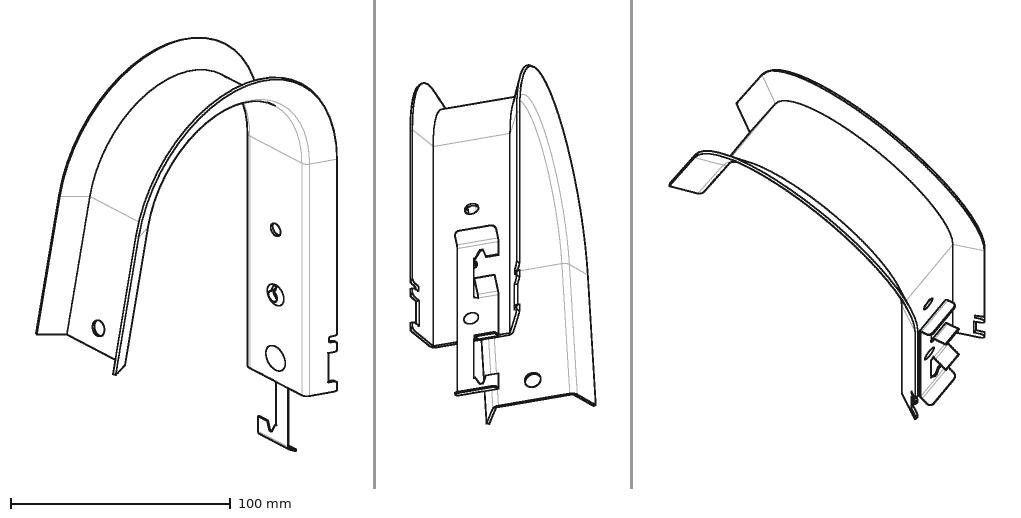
import cadquery as cq
import math


sheet = 1.4
arch_radius = 50.7
leg_length = 124.0
arm_length = 69.0
arm_splay = 12.4
half_width = 25.7
flange_lean = 26.0
flange_rise = 13.2
bend_radius = 3.5

hole_pitch = 33.9
rivet_z = 12.5
screw_z = rivet_z + hole_pitch
leg_hole_z = 81.1
leg_hole_diameter = 6.4
arm_hole_diameter = 7.5
arm_hole_from_end = 10.5

dimple_base = 10.7
dimple_top = 5.7
dimple_height = 1.8
dimple_bore = 5.2
dimple_slit = 2.0
dimple_slit_reach = 5.0

slot_depth = 4.3
notch_depth = 4.0
slot_bottom = 5.5
slot_top = 21.1
notch_bottom = 26.5
notch_top = 29.8
lip_round = 2.0
notch_round = 1.0

clip_sheet = 0.7
clip_left = -12.7
clip_right = 6.5
strip_left = -1.1
flap_right = -3.2
flap_bend_z = 0.5
flap_length = 7.5
strip_root_round = 1.8
hook_top = -24.5
hook_bend_z = -32.5
hook_length = 6.1
hook_corner = 2.3
tab_bend = 57.0
tab_bend_radius = 2.5
vee_left = -6.8
vee_right = -1.8
vee_floor_left = -5.5
vee_floor_right = -4.0
vee_depth = 4.5

head_diameter = 12.5
head_height = 2.5
shank_diameter = 6.8

web_back = arch_radius + sheet
flange_tip = web_back + flange_rise
clip_back = web_back + clip_sheet


def bore(diameter, z):
    """Round cutter along Y, through the leg and the clip behind it."""
    start = cq.Workplane("XZ", origin=(0, arch_radius - flange_rise, z))
    return start.circle(diameter / 2).extrude(-2 * flange_rise)


def channel():
    """Channel section swept up the leg, over the arch and down the arm."""
    lean = math.radians(flange_lean)
    inner_edge = half_width - sheet * math.cos(lean)
    inner_corner = inner_edge - flange_rise * math.tan(lean)
    outer_corner = inner_corner + sheet * math.tan((math.pi / 2 - lean) / 2)
    right_half = [
        (outer_corner, arch_radius),
        (half_width, flange_tip - sheet * math.sin(lean)),
        (inner_edge, flange_tip),
        (inner_corner, web_back),
    ]
    left_half = [(-x, y) for x, y in reversed(right_half)]

    splay = math.radians(arm_splay)
    crown = math.radians(90 + arm_splay) / 2
    arch_end_y = -arch_radius * math.cos(splay)
    arch_end_z = leg_length + arch_radius * math.sin(splay)
    path = (
        cq.Workplane("YZ")
        .moveTo(arch_radius, 0)
        .lineTo(arch_radius, leg_length)
        .threePointArc(
            (arch_radius * math.cos(crown), leg_length + arch_radius * math.sin(crown)),
            (arch_end_y, arch_end_z),
        )
        .lineTo(arch_end_y - arm_length * math.sin(splay), arch_end_z - arm_length * math.cos(splay))
    )
    section = cq.Sketch().polygon(right_half + left_half + right_half[:1])
    section = section.vertices("<Y").fillet(bend_radius).reset()
    return cq.Workplane("XY").placeSketch(section).sweep(path)


def across_flanges(profile):
    """Extrude a YZ profile through both flanges."""
    return profile.extrude(half_width, both=True)


def edge_gap(z_low, z_high, depth):
    """Square-cornered gap cut to a depth into the flange edges."""
    centre = (0, flange_tip, (z_low + z_high) / 2)
    return across_flanges(cq.Workplane("YZ", origin=centre).rect(2 * depth, z_high - z_low))


def lip_rounding(z, direction):
    """Stock to remove from the flange corner at z; direction is +1 if the lip lies above it, -1 if below."""
    corner = cq.Workplane("YZ", origin=(0, flange_tip, z)).rect(2 * lip_round, 2 * lip_round)
    round_centre = (0, flange_tip - lip_round, z + direction * lip_round)
    rod = cq.Workplane("YZ", origin=round_centre).circle(lip_round)
    lip_side = cq.Workplane("YZ", origin=(0, flange_tip, z + direction * lip_round / 2))
    lip_side = across_flanges(lip_side.rect(2 * lip_round, lip_round))
    return across_flanges(corner).intersect(lip_side).cut(across_flanges(rod))


def flange_cutouts():
    """Slot and small notch in the edges of both leg flanges, with rounded lips beside them."""
    notch = edge_gap(notch_bottom, notch_top, notch_depth)
    notch = notch.edges("|X and <Y").fillet(notch_round)
    cutter = edge_gap(slot_bottom, slot_top, slot_depth).union(notch)
    corners_below_lips = [0, slot_top, notch_top]
    corners_above_lips = [slot_bottom, notch_bottom]
    for z in corners_below_lips:
        cutter = cutter.union(lip_rounding(z, 1))
    for z in corners_above_lips:
        cutter = cutter.union(lip_rounding(z, -1))
    return cutter


def dimple():
    """Truncated cone raised from the front of the web around the screw hole."""
    cone = cq.Solid.makeCone(
        dimple_base / 2,
        dimple_top / 2,
        dimple_height,
        cq.Vector(0, arch_radius, screw_z),
        cq.Vector(0, -1, 0),
    )
    return cq.Workplane(obj=cone)


def dimple_opening():
    """Screw bore with a slit running up almost to the rim of the dimple."""
    slit_plane = cq.Workplane("XZ", origin=(0, web_back, screw_z + dimple_slit_reach / 2))
    slit = slit_plane.rect(dimple_slit, dimple_slit_reach).extrude(sheet + dimple_height)
    return slit.union(bore(dimple_bore, screw_z))


def arm_hole():
    """Hole near the free end of the arm, square to the arm."""
    hole_z = leg_length - arm_length + arm_hole_from_end
    start = cq.Workplane("XZ", origin=(0, -arch_radius + flange_rise, hole_z))
    hole = start.circle(arm_hole_diameter / 2).extrude(2 * flange_rise)
    return hole.rotate((0, 0, leg_length), (1, 0, leg_length), -arm_splay)


def make_strap():
    strap = channel().cut(flange_cutouts()).union(dimple()).cut(dimple_opening())
    strap = strap.cut(bore(leg_hole_diameter, leg_hole_z)).cut(arm_hole())
    return strap.cut(bore(shank_diameter, rivet_z))


def bent_tab(bend_z, length, right):
    """Tab bent back from the flat clip at bend_z, from the left edge of the clip to X = right."""
    angle = math.radians(tab_bend)
    centre_y = web_back + tab_bend_radius
    inside_radius = tab_bend_radius - clip_sheet

    def bend_point(radius, turn):
        return (centre_y - radius * math.cos(turn), bend_z - radius * math.sin(turn))

    def tip_point(radius):
        y, z = bend_point(radius, angle)
        return (y + length * math.sin(angle), z - length * math.cos(angle))

    profile = (
        cq.Workplane("YZ", origin=(clip_left, 0, 0))
        .moveTo(*bend_point(tab_bend_radius, 0))
        .threePointArc(bend_point(tab_bend_radius, angle / 2), bend_point(tab_bend_radius, angle))
        .lineTo(*tip_point(tab_bend_radius))
        .lineTo(*tip_point(inside_radius))
        .lineTo(*bend_point(inside_radius, angle))
        .threePointArc(bend_point(inside_radius, angle / 2), bend_point(inside_radius, 0))
        .close()
    )
    return profile.extrude(right - clip_left)


def flat_half():
    """Flat lower half of the clip: wide plate at the rivet, strip, and notched hook."""
    outline = [
        (clip_left, rivet_z),
        (clip_left, flap_bend_z),
        (strip_left, flap_bend_z),
        (strip_left, hook_top),
        (vee_right, hook_top),
        (vee_floor_right, hook_top - vee_depth),
        (vee_floor_left, hook_top - vee_depth),
        (vee_left, hook_top),
        (clip_left, hook_top),
        (clip_left, hook_bend_z),
        (clip_right, hook_bend_z),
        (clip_right, rivet_z),
    ]
    flat = cq.Workplane("XZ", origin=(0, web_back, 0)).polyline(outline).close().extrude(-clip_sheet)
    strip_root = cq.selectors.BoxSelector(
        (strip_left - clip_sheet, web_back - clip_sheet, flap_bend_z - clip_sheet),
        (strip_left + clip_sheet, clip_back + clip_sheet, flap_bend_z + clip_sheet),
    )
    return flat.edges(strip_root).edges("|Y").fillet(strip_root_round)


def make_clip():
    """The two halves of the clip mirror each other about the height of the rivet."""
    flap = bent_tab(flap_bend_z, flap_length, flap_right)
    angle = math.radians(tab_bend)
    tip_corners = cq.selectors.ParallelDirSelector(cq.Vector(0, math.cos(angle), math.sin(angle)))
    hook_tip = bent_tab(hook_bend_z, hook_length, clip_right).edges(tip_corners).fillet(hook_corner)
    lower = flat_half().union(flap).union(hook_tip)
    upper = lower.mirror("XY", (0, 0, rivet_z))
    return lower.union(upper).cut(bore(shank_diameter, rivet_z))


def make_rivet():
    """Domed head in front of the web, shank ending flush with the back of the clip."""
    profile = (
        cq.Workplane("XY", origin=(0, 0, rivet_z))
        .moveTo(0, clip_back)
        .lineTo(shank_diameter / 2, clip_back)
        .lineTo(shank_diameter / 2, arch_radius)
        .lineTo(head_diameter / 2, arch_radius)
    )
    dome_radius = (head_diameter**2 / 4 + head_height**2) / (2 * head_height)
    dome_centre = arch_radius - head_height + dome_radius
    half_angle = math.asin(head_diameter / 2 / dome_radius) / 2
    profile = profile.threePointArc(
        (dome_radius * math.sin(half_angle), dome_centre - dome_radius * math.cos(half_angle)),
        (0, arch_radius - head_height),
    ).close()
    return profile.revolve(360, (0, 0, 0), (0, 1, 0))


strap = make_strap()
clip = make_clip()
rivet = make_rivet()

result = cq.Compound.makeCompound([strap.val(), clip.val(), rivet.val()])